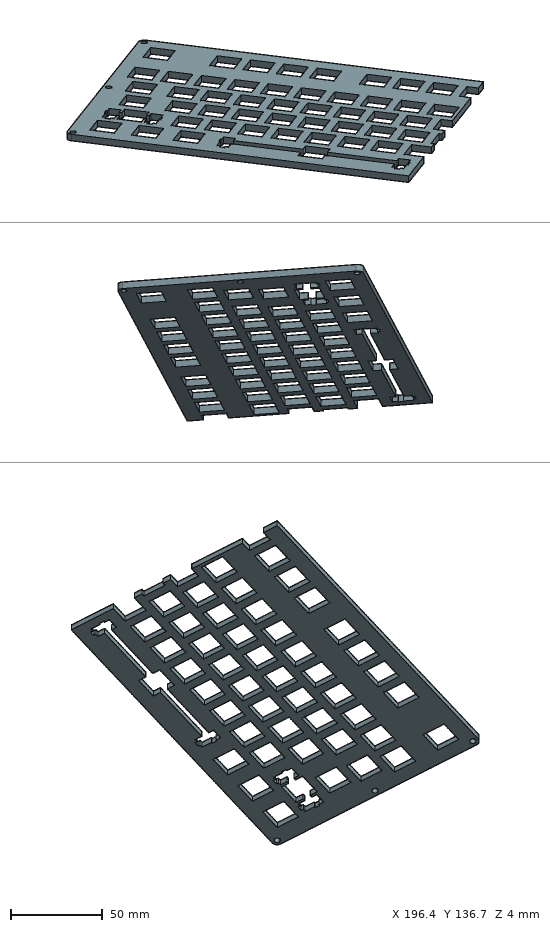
import cadquery as cq

plate_length = 196.4
plate_width = 136.7
plate_thickness = 4.0
corner_radius = 3.3

mount_hole_diameter = 3.3
mount_hole_inset = corner_radius

key_pitch = 19.0
key_margin = 6.3
switch_size = 14.0

key_rows = [
    (0.5, [(0.625, 1), (1.875, 1), (3.125, 1), (6.875, 1)]),
    (1.5, [(1.125, 1), (2.75, 8)]),
    (2.5, [(0.875, 1), (2.25, 9)]),
    (3.5, [(0.75, 1), (2.0, 9)]),
    (4.5, [(0.5, 10)]),
    (6.0, [(0.5, 1), (2.5, 4), (7.0, 4)]),
]

space_bar_center = (6.875, 0.5)
space_bar_leg_offset = 50.0
left_shift_center = (1.125, 1.5)
left_shift_leg_offset = 12.0

leg_width = 6.7
leg_top = 5.5
leg_bottom = -6.7
foot_width = 3.0
foot_bottom = -8.0
notch_reach = 4.1
notch_top = 2.4
notch_bottom = -0.5
channel_height = 4.5


def grid_point(column, row):
    """Place of a key centre given in key units."""
    return key_margin + column * key_pitch, key_margin + row * key_pitch


def full_height_box(x_start, x_end, y_start, y_end):
    """Rectangular block as high as the plate is thick, standing on its lower face."""
    size_x = x_end - x_start
    size_y = y_end - y_start
    box = cq.Workplane("XY").box(size_x, size_y, plate_thickness, centered=False)
    return box.translate((x_start, y_start, 0))


def make_plate():
    """Flat plate with its two left corners rounded."""
    plate = full_height_box(0, plate_length, 0, plate_width)
    return plate.edges("|Z and <X").fillet(corner_radius)


def mounting_hole_cutter():
    hole_heights = [mount_hole_inset, plate_width / 2, plate_width - mount_hole_inset]
    hole_points = [(mount_hole_inset, y) for y in hole_heights]
    return cq.Workplane("XY").pushPoints(hole_points).circle(mount_hole_diameter / 2).extrude(plate_thickness)


def switch_cutter():
    """All square switch openings; those at the right edge run out of the plate."""
    switch_points = []
    for row, runs in key_rows:
        for first_column, count in runs:
            switch_points += [grid_point(first_column + i, row) for i in range(count)]
    return cq.Workplane("XY").pushPoints(switch_points).rect(switch_size, switch_size).extrude(plate_thickness)


def stabilizer_cutter(key_center, leg_offset):
    """Two mirrored legs, each with a foot and an outer notch, joined by a channel."""
    half_leg = leg_width / 2
    half_foot = foot_width / 2
    leg = full_height_box(leg_offset - half_leg, leg_offset + half_leg, leg_bottom, leg_top)
    foot = full_height_box(leg_offset - half_foot, leg_offset + half_foot, foot_bottom, leg_top)
    notch = full_height_box(leg_offset, leg_offset + notch_reach, notch_bottom, notch_top)
    channel = full_height_box(0, leg_offset, -channel_height / 2, channel_height / 2)
    half_cutter = leg.union(foot).union(notch).union(channel)
    center_x, center_y = grid_point(*key_center)
    return half_cutter.union(half_cutter.mirror("YZ")).translate((center_x, center_y, 0))


result = (
    make_plate()
    .cut(mounting_hole_cutter())
    .cut(switch_cutter())
    .cut(stabilizer_cutter(space_bar_center, space_bar_leg_offset))
    .cut(stabilizer_cutter(left_shift_center, left_shift_leg_offset))
)